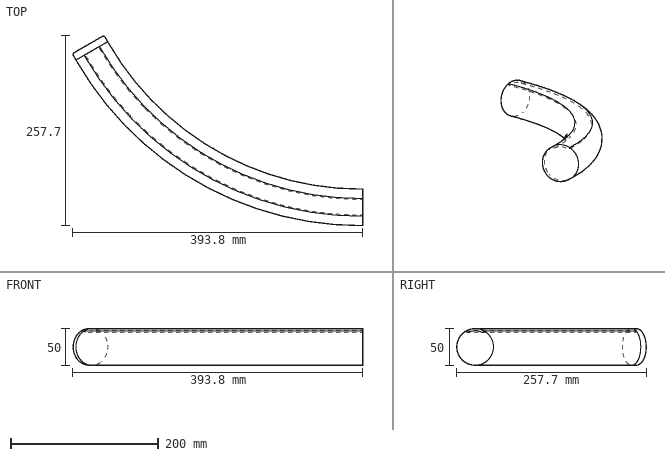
import cadquery as cq
import math

tube_radius = 25.0
bend_radius = 420.0
bend_angle = 60.0
straight_length = 3.0
cap_length = 10.0
cap_fillet = 3.0
strip_width = 24.0
strip_thickness = 3.0

floor_radius = tube_radius - strip_thickness
strip_half_angle = math.degrees(math.asin(strip_width / 2 / tube_radius))


def along_bend(angle):
    """Point on the bend centreline, at an angle from its start at the +X end."""
    turn = math.radians(angle)
    return (
        -straight_length - bend_radius * math.sin(turn),
        bend_radius * (1 - math.cos(turn)),
    )


end_turn = math.radians(bend_angle)
end_direction = (-math.cos(end_turn), math.sin(end_turn))
bend_end = along_bend(bend_angle)
cap_seat = tuple(p + straight_length * d for p, d in zip(bend_end, end_direction))

centreline = (
    cq.Workplane("XY")
    .lineTo(*along_bend(0))
    .threePointArc(along_bend(bend_angle / 2), bend_end)
    .lineTo(*cap_seat)
    .wire()
    .val()
)


def polar(radius, angle):
    """Section point at an angle from +Z, positive towards +Y."""
    turn = math.radians(angle)
    return (radius * math.sin(turn), radius * math.cos(turn))


def make_rail():
    """Round bar with a shallow radial-walled channel along its top."""
    half = strip_half_angle
    return (
        cq.Workplane("YZ")
        .moveTo(*polar(tube_radius, half))
        .threePointArc(polar(tube_radius, 180), polar(tube_radius, -half))
        .lineTo(*polar(floor_radius, -half))
        .threePointArc(polar(floor_radius, 0), polar(floor_radius, half))
        .close()
        .sweep(centreline)
    )


def make_insert_strip():
    """Strip that fills the channel, with its outer face flush with the round rail."""
    half = strip_half_angle
    return (
        cq.Workplane("YZ")
        .moveTo(*polar(floor_radius, -half))
        .lineTo(*polar(tube_radius, -half))
        .threePointArc(polar(tube_radius, 0), polar(tube_radius, half))
        .lineTo(*polar(floor_radius, half))
        .threePointArc(polar(floor_radius, 0), polar(floor_radius, -half))
        .close()
        .sweep(centreline)
    )


def make_end_cap():
    """Solid round cap on the far end, with a rounded outer edge."""
    seat = cq.Plane(
        origin=(*cap_seat, 0),
        xDir=(-math.sin(end_turn), -math.cos(end_turn), 0),
        normal=(*end_direction, 0),
    )
    return (
        cq.Workplane(seat)
        .circle(tube_radius)
        .extrude(cap_length)
        .faces(cq.selectors.DirectionMinMaxSelector(seat.zDir, True))
        .edges()
        .fillet(cap_fillet)
    )


rail = make_rail()
insert_strip = make_insert_strip()
end_cap = make_end_cap()

result = cq.Compound.makeCompound([rail.val(), insert_strip.val(), end_cap.val()])